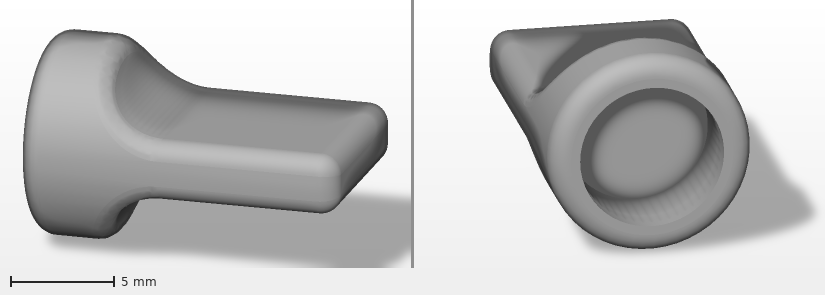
import cadquery as cq

length = 16.0
diameter = 10.0
tab_thickness = 3.0
edge_radius = 1.0
neck_radius = 3.0
tab_start = 7.0
bore_diameter = 7.1
bore_depth = 4.0

radius = diameter / 2
half_tab = tab_thickness / 2
head_end = tab_start - neck_radius
clearance = 1.6


def side_cutter():
    """Material removed above the tab, with a concave quarter-round neck."""
    arc_center_z = half_tab + neck_radius
    diagonal = neck_radius / 2**0.5
    return (
        cq.Workplane("XZ")
        .moveTo(length + clearance, half_tab)
        .lineTo(tab_start, half_tab)
        .threePointArc(
            (tab_start - diagonal, arc_center_z - diagonal),
            (head_end, arc_center_z),
        )
        .lineTo(head_end, radius + clearance)
        .lineTo(length + clearance, radius + clearance)
        .close()
        .extrude(radius + clearance, both=True)
    )


body = cq.Workplane("YZ").circle(radius).extrude(length)
upper_cutter = side_cutter()
body = body.cut(upper_cutter).cut(upper_cutter.mirror("XY"))

body = body.edges("(not |Y) or >X").fillet(edge_radius)

bore = cq.Workplane("YZ").circle(bore_diameter / 2).extrude(bore_depth)

result = body.cut(bore)